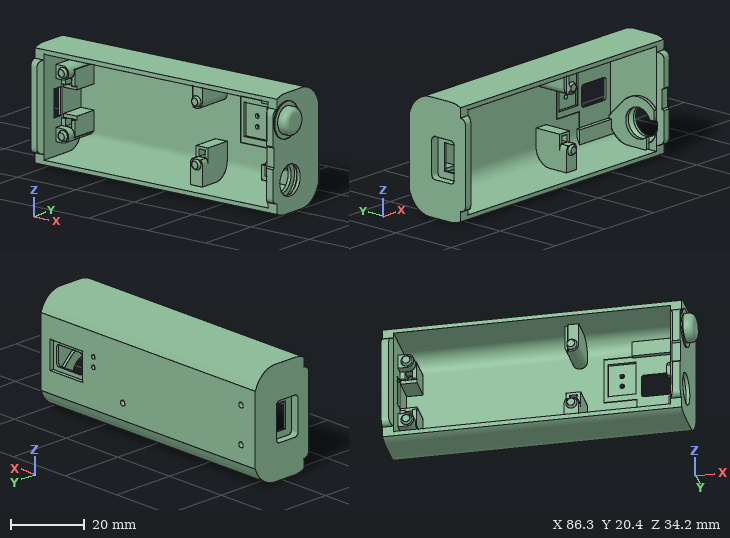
import cadquery as cq
import math


total_length = 86.3
length = 83.0
height = 34.2
depth = 18.55
half = height / 2

back_corner_run = 7.6
back_flat_half = 11.3
back_bevel_depth = 0.9
back_bevel_height = 1.8
front_corner_run = 3.7
front_corner_drop = 0.9

side_wall = 2.2
end_wall = 3.1
floor_y = depth - side_wall
cavity_half = half - side_wall
cavity_radius = 5.0
inner_end = length - end_wall

tab_rise = 1.8
tab_half = 13.3
tab_radius = 1.8
tab_tip = 2.2
tab_root = 0.9
notch_depth = 0.5
notch_half_front = 3.2
notch_half_base = 2.8

socket_y = 6.4
socket_width = 8.1
socket_height = 12.25
socket_radius = 1.2
socket_wall = 0.6
window_width = 3.45
window_height = 8.1

post_front_y = 5.35
post_shelf_y = 7.85
post_z = 8.9
post_width = 4.05
post_radius = post_width / 2
right_post_x = 51.3
left_post_x = 5.5
left_post_radius = 2.0
left_shelf_end = 7.7
left_shelf_low = 3.7
left_shelf_high = 9.6
left_ledge_top = 4.75
left_ledge_y = 8.7
right_shelf_low = 4.5
rest_flat_z = -7.4
upper_post_step = 0.9
peg_base_diameter = 3.1
peg_tip_diameter = 2.2
peg_height = 0.8
trap_size = 2.1
trap_depth = 2.6
trap_hole_diameter = 1.6
left_trap_z = 5.8
right_trap_z = 6.3

pad_start = 65.85
pad_y = 15.4
pad_low = 8.7
pad_high = 13.1
recess_start = 57.8
recess_step_x = 67.0
recess_top = 9.0
recess_bottom = -4.05
recess_depth = 0.3
sensor_x = (58.85, 66.6)
sensor_z = (-2.25, 7.4)
sensor_depth = 1.1
pin_hole_diameter = 1.2
pin_hole_x = 62.65
pin_hole_z = (0.95, 4.0)
opening_x = (68.2, 78.0)
opening_z = (-3.3, 3.2)
opening_radius = 0.9
opening_margin = 1.3
opening_seat_depth = 1.2

button_y = 3.9
button_z = 9.6
button_diameter = 8.0
button_flange_diameter = 10.6
button_flange_height = 0.35
button_fillet = 1.6

outlet_y = 5.8
outlet_z = -7.85
collar_radius = 7.5
collar_height = 1.0
chamber_diameter = 12.0
outlet_diameter = 9.0
outlet_lip = 1.0
chamber_straight = 0.8
collar_gap_top = -6.1
collar_gap_y = 2.8


def box(x, y, z):
    """Box between pairs of limits along each axis."""
    size = (x[1] - x[0], y[1] - y[0], z[1] - z[0])
    return cq.Workplane("XY").box(*size, centered=False).translate((x[0], y[0], z[0]))


def along_x(x):
    """Sketch plane across the box at x: sketch X is Y, sketch Y is Z."""
    return cq.Workplane("YZ", origin=(x, 0, 0))


def along_y(y):
    """Sketch plane facing the open front at y: sketch X is X, sketch Y is Z, extruding to -Y."""
    return cq.Workplane("XZ", origin=(0, y, 0))


def disk_x(x0, x1, diameter, y, z):
    return along_x(x0).center(y, z).circle(diameter / 2).extrude(x1 - x0)


def tangent_arc_middle(run, drop):
    """Midpoint (along, down) of an arc that leaves a flat face tangentially and drops over a run."""
    radius = (run**2 + drop**2) / (2 * drop)
    angle = math.asin(run / radius) / 2
    return radius * math.sin(angle), radius * (1 - math.cos(angle))


def outer_body():
    """Solid bar: the upper half of the section, mirrored."""
    bevel_y = depth - back_bevel_depth
    bevel_z = back_flat_half + back_bevel_height
    back_tangent_y = depth - back_corner_run
    back_mid = tangent_arc_middle(back_corner_run - back_bevel_depth, half - bevel_z)
    front_mid = tangent_arc_middle(front_corner_run, front_corner_drop)
    upper = (
        along_x(0)
        .moveTo(0, 0)
        .lineTo(0, half - front_corner_drop)
        .threePointArc((front_corner_run - front_mid[0], half - front_mid[1]), (front_corner_run, half))
        .lineTo(back_tangent_y, half)
        .threePointArc((back_tangent_y + back_mid[0], half - back_mid[1]), (bevel_y, bevel_z))
        .lineTo(depth, back_flat_half)
        .lineTo(depth, 0)
        .close()
        .extrude(length)
    )
    return upper.union(upper.mirror("XY"))


def cavity_section():
    """Cavity volume from the rim back to the floor, with rounded floor corners."""
    block = box((end_wall, inner_end), (0, floor_y), (-cavity_half, cavity_half))
    return block.edges("|X and >Y").fillet(cavity_radius)


def end_tabs():
    """Tabs on both end walls, sloped on their inner side and notched on the +X one."""
    slab = box((0, length), (-tab_rise, tab_root), (-tab_half, tab_half))
    slab = slab.edges("|X and <Y").fillet(tab_radius)
    gap = (
        cq.Workplane("XY")
        .polyline(
            [
                (end_wall, tab_root),
                (end_wall, 0),
                (tab_tip, -tab_rise),
                (length - tab_tip, -tab_rise),
                (inner_end, 0),
                (inner_end, tab_root),
            ]
        )
        .close()
        .extrude(height, both=True)
    )
    notch = (
        along_x(length / 2)
        .polyline(
            [
                (-tab_rise, -notch_half_front),
                (notch_depth - tab_rise, -notch_half_base),
                (notch_depth - tab_rise, notch_half_base),
                (-tab_rise, notch_half_front),
            ]
        )
        .close()
        .extrude(length)
    )
    return slab.cut(gap).cut(notch)


def socket():
    """Rounded recess from outside with a window through the thin wall left behind it."""
    recess = (
        along_x(0)
        .center(socket_y, 0)
        .rect(socket_width, socket_height)
        .extrude(end_wall - socket_wall)
        .edges("|X")
        .fillet(socket_radius)
    )
    window = along_x(0).center(socket_y, 0).rect(window_width, window_height).extrude(end_wall)
    return recess.union(window)


def peg(x, z):
    """Conical locating peg on the front of a board rest."""
    return (
        along_y(post_front_y)
        .center(x, z)
        .circle(peg_base_diameter / 2)
        .workplane(offset=peg_height)
        .circle(peg_tip_diameter / 2)
        .loft()
    )


def trap(x, z):
    """Square pocket in a post shelf with a round hole through the floor."""
    pocket = along_y(post_shelf_y + trap_depth).center(x, z).rect(trap_size, trap_size)
    hole = along_y(depth).center(x, z).circle(trap_hole_diameter / 2)
    return pocket.extrude(trap_depth).union(hole.extrude(depth - post_shelf_y))


def left_post():
    """Upper post at the -X end: shelf, lower ledge and a round-ended board rest."""
    shelf = box((end_wall, left_shelf_end), (post_shelf_y, floor_y), (left_ledge_top, left_shelf_high))
    ledge = box((end_wall, left_shelf_end), (left_ledge_y, floor_y), (left_shelf_low, left_ledge_top))
    rest = box(
        (end_wall, left_post_x),
        (post_front_y, floor_y),
        (post_z - left_post_radius, post_z + left_post_radius),
    )
    round_end = along_y(floor_y).center(left_post_x, post_z).circle(left_post_radius)
    rest = rest.union(round_end.extrude(floor_y - post_front_y))
    return shelf.union(ledge).union(rest).union(peg(left_post_x, post_z))


def right_rest(direction):
    """Board rest that runs from the side wall and ends in a half round; direction is 1 up, -1 down."""
    x = (right_post_x - post_radius, right_post_x + post_radius)
    z = sorted((direction * post_z, direction * cavity_half))
    round_end = along_y(floor_y).center(right_post_x, direction * post_z).circle(post_radius)
    return box(x, (post_front_y, floor_y), z).union(round_end.extrude(floor_y - post_front_y))


def upper_right_post():
    post = right_rest(1).union(peg(right_post_x, post_z))
    step = box(
        (right_post_x - post_radius, right_post_x - peg_tip_diameter / 2),
        (post_front_y - peg_height, post_front_y + upper_post_step),
        (0, cavity_half),
    )
    return post.cut(step)


def lower_right_post():
    """Post with a flat-topped board rest and a trap shelf above it."""
    x = (right_post_x - post_radius, right_post_x + post_radius)
    shelf = box(x, (post_shelf_y, floor_y), (-post_z, -right_shelf_low))
    above_flat = box(x, (0, post_shelf_y), (rest_flat_z, 0))
    return right_rest(-1).cut(above_flat).union(peg(right_post_x, -post_z)).union(shelf)


def pads():
    upper = box((pad_start, inner_end), (pad_y, floor_y + recess_depth), (pad_low, pad_high))
    return upper.union(upper.mirror("XY"))


def floor_recesses():
    """Shallow tray, sensor pocket with pin holes, and the opening with its seat on the back face."""
    recess_y = (floor_y, floor_y + recess_depth)
    recess = box((recess_start, inner_end), recess_y, (recess_bottom, recess_top))
    recess = recess.union(box((recess_step_x, inner_end), recess_y, (-pad_low, recess_bottom)))
    sensor = box(sensor_x, (floor_y, floor_y + sensor_depth), sensor_z)
    opening = box(opening_x, (floor_y, depth), opening_z).edges("|Y").fillet(opening_radius)
    margin_x = (opening_x[0] - opening_margin, opening_x[1] + opening_margin)
    margin_z = (opening_z[0] - opening_margin, opening_z[1] + opening_margin)
    window_seat = box(margin_x, (depth - opening_seat_depth, depth), margin_z)
    pins = (
        along_y(depth)
        .pushPoints([(pin_hole_x, z) for z in pin_hole_z])
        .circle(pin_hole_diameter / 2)
        .extrude(side_wall)
    )
    return recess.union(sensor).union(opening).union(window_seat).union(pins)


def button():
    flange = disk_x(length, length + button_flange_height, button_flange_diameter, button_y, button_z)
    cap = disk_x(length, total_length, button_diameter, button_y, button_z)
    return flange.union(cap.faces(">X").edges().fillet(button_fillet))


def collar():
    """Ring on the inner end wall; its foot fills the cavity corner under a 45 degree tangent."""
    x0 = inner_end - collar_height
    ring = disk_x(x0, inner_end, 2 * collar_radius, outlet_y, outlet_z)
    tangent_offset = collar_radius * math.cos(math.radians(45))
    tangent_point = (outlet_y + tangent_offset, outlet_z + tangent_offset)
    foot_top = sum(tangent_point) - floor_y
    foot_radius = foot_top + cavity_half
    foot = (
        along_x(x0)
        .moveTo(outlet_y, outlet_z)
        .lineTo(*tangent_point)
        .lineTo(floor_y, foot_top)
        .radiusArc((floor_y - foot_radius, -cavity_half), foot_radius)
        .lineTo(outlet_y, -cavity_half)
        .close()
        .extrude(collar_height)
    )
    gap = box((x0, inner_end), (-depth, collar_gap_y), (-half, collar_gap_top))
    return ring.union(foot.intersect(cavity_section())).cut(gap)


def outlet():
    """Bore through the collar, wider conical chamber in the wall and a lip at the outside."""
    bore_x = inner_end - collar_height
    cone_x = inner_end + chamber_straight
    lip_x = length - outlet_lip
    bore = disk_x(bore_x, inner_end, outlet_diameter, outlet_y, outlet_z)
    chamber = disk_x(inner_end, cone_x, chamber_diameter, outlet_y, outlet_z)
    cone = (
        along_x(cone_x)
        .center(outlet_y, outlet_z)
        .circle(chamber_diameter / 2)
        .workplane(offset=lip_x - cone_x)
        .circle(outlet_diameter / 2)
        .loft()
    )
    lip = disk_x(lip_x, length, outlet_diameter, outlet_y, outlet_z)
    return bore.union(chamber).union(cone).union(lip)


cavity = cavity_section()
fittings = left_post().union(left_post().mirror("XY"))
fittings = fittings.union(upper_right_post()).union(lower_right_post()).union(pads()).union(collar())

result = outer_body().cut(cavity).union(end_tabs()).cut(socket())
result = result.cut(floor_recesses())
result = result.union(fittings.intersect(outer_body()))
result = result.cut(outlet()).union(button())
for sign in (1, -1):
    result = result.cut(trap(left_post_x, sign * left_trap_z))
result = result.cut(trap(right_post_x, -right_trap_z))